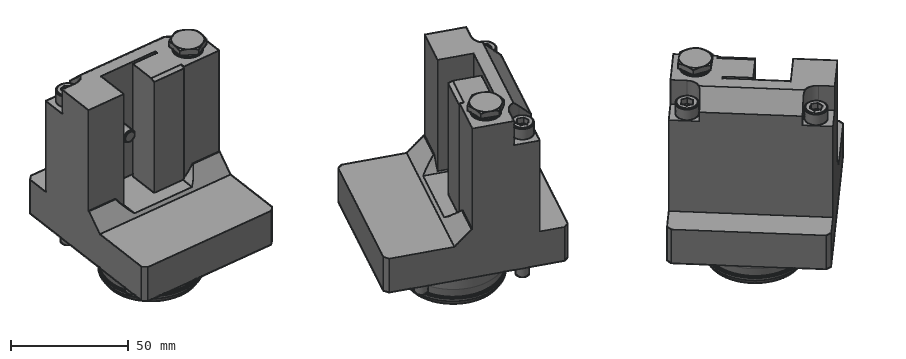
import cadquery as cq
import math

base_x = 82.0
base_y = 70.0
base_z = 18.0
base_corner_chamfer = 2.0

wall_back = -28.0
wall_front = 2.0
wall_top = 79.0
wall_top_chamfer = 8.0
foot_bevel = 8.0
foot_ledge = 0.4

slot_back = -14.0
slot_half_width = 16.1
slot_floor = 19.4
relief_radius = 24.0
relief_axis_z = 37.8

block_back = -12.7
block_front = 2.2
block_side_y = 0.0
gap_end = 13.0
block_chamfer_run = 2.1
block_chamfer_drop = 0.8

pin_diameter = 6.0
pin_length = 9.8
pin_y = -8.0
pin_z = 49.0
pin_chamfer = 0.5

screw_x = 22.5
screw_y = 27.5
screw_diameter = 6.0
screw_tip_chamfer = 0.5
rear_screw_reach = 8.7
front_screw_reach = 8.3
head_diameter = 10.0
head_height = 6.0
head_chamfer = 0.5
socket_flats = 5.0
socket_depth = 3.0
head_pocket_floor = 66.2
head_pocket_radius = 6.0
head_pocket_y = 28.0
positive_y_socket_turn = 0.0
negative_y_socket_turn = -12.0

shank_radius = 22.5
shank_length = 24.0
shank_neck_radius = 22.1
shank_taper_start = -14.8
groove_top = -19.2
groove_bottom = -20.0
groove_radius = 21.8
collar_bottom = -21.2
shank_end_radius = 20.7

bolt_x = -7.0
bolt_y = 25.0
bolt_flats = 14.0
bolt_top = 84.08
bolt_head_bottom = 81.0
bolt_head_chamfer = 0.6
bolt_turn = -2.0
bolt_neck_diameter = 12.6
bolt_flange_diameter = 13.2
bolt_flange_height = 0.5


def across_corners(flats):
    """Corner-to-corner width of a regular hexagon."""
    return 2 * flats / math.sqrt(3)


def hex_prism(flats, turn, height):
    """Hexagonal prism standing on z = 0, with a corner on +X before it is turned."""
    prism = cq.Workplane("XY").polygon(6, across_corners(flats)).extrude(height)
    return prism.rotate((0, 0, 0), (0, 0, 1), turn)


def rod(diameter, length, end_chamfer):
    """Rod from z = 0 upwards with a chamfered far end."""
    return cq.Workplane("XY").circle(diameter / 2).extrude(length).faces(">Z").chamfer(end_chamfer)


def make_base():
    plate = cq.Workplane("XY").box(base_x, base_y, base_z, centered=(True, True, False))
    return plate.edges("|Z").chamfer(base_corner_chamfer)


def make_wall():
    """Upright wall with a chamfered back edge and a narrow ledge above the beveled foot."""
    ledge_front = wall_front + foot_ledge
    ledge_z = base_z + foot_bevel - foot_ledge
    outline = [
        (wall_back, 0),
        (wall_front + foot_bevel, 0),
        (wall_front + foot_bevel, base_z),
        (ledge_front, ledge_z),
        (wall_front, ledge_z),
        (wall_front, wall_top),
        (wall_back + wall_top_chamfer, wall_top),
        (wall_back, wall_top - wall_top_chamfer),
    ]
    return cq.Workplane("XZ").polyline(outline).close().extrude(base_y / 2, both=True)


def relief_half_width(z):
    """Half the relief's width along Y at height z."""
    return math.sqrt(relief_radius**2 - (z - relief_axis_z) ** 2)


def make_slot():
    """Slot inside the wall, its lower corners following the relief radius."""
    floor_half = relief_half_width(slot_floor)
    corner_z = relief_axis_z - math.sqrt(relief_radius**2 - slot_half_width**2)
    arc_z = (slot_floor + corner_z) / 2
    arc_y = relief_half_width(arc_z)
    return (
        cq.Workplane("YZ", origin=(slot_back, 0, 0))
        .moveTo(-slot_half_width, wall_top)
        .lineTo(-slot_half_width, corner_z)
        .threePointArc((-arc_y, arc_z), (-floor_half, slot_floor))
        .lineTo(floor_half, slot_floor)
        .threePointArc((arc_y, arc_z), (slot_half_width, corner_z))
        .lineTo(slot_half_width, wall_top)
        .close()
        .extrude(wall_front - slot_back)
    )


def make_relief():
    """Flat-bottomed round relief cut into the foot in front of the wall."""
    floor_half = relief_half_width(slot_floor)
    return (
        cq.Workplane("YZ", origin=(wall_front, 0, 0))
        .moveTo(-floor_half, slot_floor)
        .lineTo(floor_half, slot_floor)
        .threePointArc((0, relief_axis_z + relief_radius), (-floor_half, slot_floor))
        .close()
        .extrude(foot_bevel)
    )


def make_block():
    """Clamping block with a sloped front edge; it closes the rear gap beyond gap_end."""
    outline = [
        (block_back, slot_floor),
        (block_front, slot_floor),
        (block_front, wall_top - block_chamfer_drop),
        (block_front - block_chamfer_run, wall_top),
        (block_back, wall_top),
    ]
    block = (
        cq.Workplane("XZ", origin=(0, block_side_y, 0))
        .polyline(outline)
        .close()
        .extrude(block_side_y - slot_half_width)
    )
    closing_x = block_back - slot_back
    closing_y = slot_half_width - gap_end
    closing = cq.Workplane("XY", origin=(slot_back, gap_end, slot_floor)).box(
        closing_x, closing_y, wall_top - slot_floor, centered=False
    )
    return block.union(closing)


def make_slot_pin():
    pin = rod(pin_diameter, pin_length, pin_chamfer)
    return pin.rotate((0, 0, 0), (0, 1, 0), 90).translate((slot_back, pin_y, pin_z))


def make_head_pocket(side):
    """Pocket open to the back and to one end of the wall; side is +1 or -1 along Y."""
    depth = wall_top - head_pocket_floor
    center_y = side * head_pocket_y
    inner_y = side * (head_pocket_y - head_pocket_radius)
    end_y = side * base_y / 2
    front_x = head_pocket_radius - screw_x
    outline = [
        (wall_back, inner_y),
        (-screw_x, inner_y),
        (-screw_x, center_y),
        (front_x, center_y),
        (front_x, end_y),
        (wall_back, end_y),
    ]
    floor = cq.Workplane("XY", origin=(0, 0, head_pocket_floor))
    rounded_corner = floor.center(-screw_x, center_y).circle(head_pocket_radius).extrude(depth)
    return floor.polyline(outline).close().extrude(depth).union(rounded_corner)


def make_screw_head(side, socket_turn):
    """Cap screw head with its hexagonal socket, seated on the head pocket floor."""
    head = rod(head_diameter, head_height, head_chamfer)
    socket = hex_prism(socket_flats, socket_turn, socket_depth)
    head = head.cut(socket.translate((0, 0, head_height - socket_depth)))
    return head.translate((-screw_x, side * screw_y, head_pocket_floor))


def make_screw_tip(x, y, reach):
    """End of a screw standing out of the base's underside by the given reach."""
    tip = rod(screw_diameter, reach, screw_tip_chamfer)
    return tip.rotate((0, 0, 0), (1, 0, 0), 180).translate((x, y, 0))


def make_shank():
    """Round shank with a slight taper, a groove and a tapered end collar."""
    profile = [
        (0, 0),
        (shank_radius, 0),
        (shank_radius, shank_taper_start),
        (shank_neck_radius, groove_top),
        (groove_radius, groove_top),
        (groove_radius, groove_bottom),
        (shank_radius, groove_bottom),
        (shank_radius, collar_bottom),
        (shank_end_radius, -shank_length),
        (0, -shank_length),
    ]
    return cq.Workplane("XZ").polyline(profile).close().revolve(360, (0, 0), (0, 1))


def make_bolt():
    """Hexagonal head with a turned top chamfer, on a neck and a thin flange."""
    bolt_head_height = bolt_top - bolt_head_bottom
    head = hex_prism(bolt_flats, bolt_turn, bolt_head_height)
    corner_radius = across_corners(bolt_flats) / 2
    chamfer_run = corner_radius - bolt_flats / 2
    envelope = (
        cq.Workplane("XY")
        .circle(corner_radius)
        .extrude(bolt_head_height)
        .faces(">Z")
        .chamfer(bolt_head_chamfer, chamfer_run)
    )
    head = head.intersect(envelope).translate((0, 0, bolt_head_bottom))
    seat = cq.Workplane("XY", origin=(0, 0, wall_top))
    neck = seat.circle(bolt_neck_diameter / 2).extrude(bolt_head_bottom - wall_top)
    flange = seat.circle(bolt_flange_diameter / 2).extrude(bolt_flange_height)
    return head.union(neck).union(flange).translate((bolt_x, bolt_y, 0))


result = make_base().union(make_wall())
result = result.cut(make_slot()).cut(make_relief())
result = result.union(make_block()).union(make_slot_pin())

for side, socket_turn in ((1, positive_y_socket_turn), (-1, negative_y_socket_turn)):
    result = result.cut(make_head_pocket(side)).union(make_screw_head(side, socket_turn))
    result = result.union(make_screw_tip(-screw_x, side * screw_y, rear_screw_reach))
    result = result.union(make_screw_tip(screw_x, side * screw_y, front_screw_reach))

result = result.union(make_shank()).union(make_bolt())